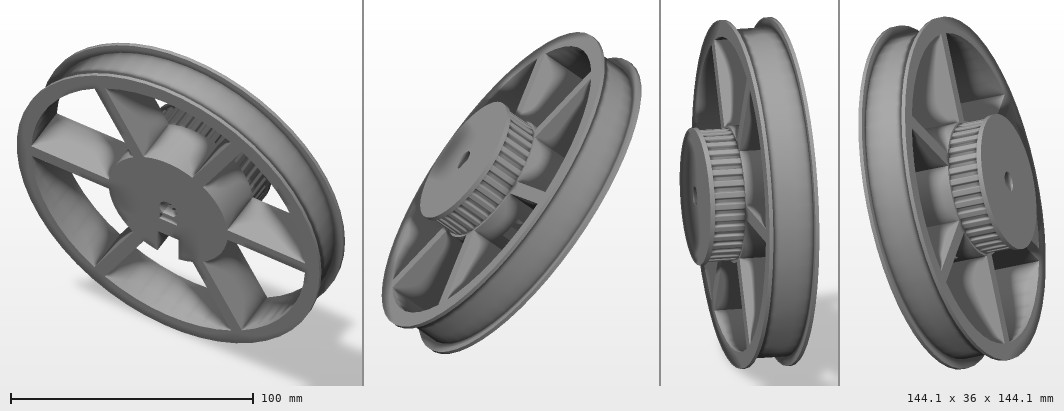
import cadquery as cq
import math

wheel_diameter = 144.1
drum_diameter = 136.0
rim_inner_diameter = 130.3
wheel_depth = 21.0
rim_flange_thickness = 1.6
hub_diameter = 56.6
spoke_width = 5.8
spoke_count = 6

total_depth = 36.0
pulley_diameter = 54.5
tooth_count = 35
groove_mouth_width = 2.6
groove_floor_width = 1.5
groove_depth = 1.2
groove_edge_radius = 0.4
groove_overrun = 0.7
retainer_diameter = 56.8
retainer_thickness = 2.0

bore_diameter = 8.4
bore_flat_distance = 3.3

screw_diameter = 5.0
screw_y = 6.0
nut_width = 8.4
nut_top_z = -4.2
nut_thickness = 3.5
notch_width = 10.1
notch_top_z = -16.0


def disc(diameter, y_start, y_end):
    """Solid disc about the Y axis between two depths."""
    plane = cq.Workplane("XZ", origin=(0, y_start, 0))
    return plane.circle(diameter / 2).extrude(y_start - y_end)


def block(x_size, y_start, y_end, z_low, z_high):
    """Box centred on x = 0."""
    centre = (0, (y_start + y_end) / 2, (z_low + z_high) / 2)
    return cq.Workplane("XY").box(x_size, y_end - y_start, z_high - z_low).translate(centre)


def make_wheel():
    rim = disc(drum_diameter, 0, wheel_depth)
    rim = rim.union(disc(wheel_diameter, 0, rim_flange_thickness))
    rim = rim.union(disc(wheel_diameter, wheel_depth - rim_flange_thickness, wheel_depth))
    wheel = rim.cut(disc(rim_inner_diameter, 0, wheel_depth))
    wheel = wheel.union(disc(hub_diameter, 0, wheel_depth))
    bar_length = (rim_inner_diameter + drum_diameter) / 2
    bar = block(bar_length, 0, wheel_depth, -spoke_width / 2, spoke_width / 2)
    for index in range(spoke_count // 2):
        angle = index * 360 / spoke_count
        wheel = wheel.union(bar.rotate((0, 0, 0), (0, 1, 0), angle))
    return wheel


def make_pulley():
    """Toothed drum closed by a plain retainer disc; one groove faces -X."""
    pulley_radius = pulley_diameter / 2
    floor_radius = pulley_radius - groove_depth
    taper = (groove_mouth_width - groove_floor_width) / groove_depth
    outer_width = groove_mouth_width + taper * groove_overrun
    groove = (
        cq.Workplane("XZ", origin=(0, wheel_depth, 0))
        .moveTo(-pulley_radius - groove_overrun, -outer_width / 2)
        .lineTo(-floor_radius, -groove_floor_width / 2)
        .lineTo(-floor_radius, groove_floor_width / 2)
        .lineTo(-pulley_radius - groove_overrun, outer_width / 2)
        .close()
        .extrude(wheel_depth - total_depth)
    )
    pulley = disc(pulley_diameter, wheel_depth, total_depth)
    pitch_angle = 360 / tooth_count
    grooves = [groove.rotate((0, 0, 0), (0, 1, 0), i * pitch_angle).val() for i in range(tooth_count)]
    pulley = pulley.cut(cq.Workplane(cq.Compound.makeCompound(grooves)))
    pulley = pulley.edges("|Y").fillet(groove_edge_radius)
    return pulley.union(disc(retainer_diameter, total_depth - retainer_thickness, total_depth))


def make_bore():
    bore = disc(bore_diameter, 0, total_depth)
    below_flat = block(bore_diameter, 0, total_depth, -bore_diameter, -bore_flat_distance)
    return bore.cut(below_flat)


def make_screw_cuts():
    screw_hole = (
        cq.Workplane("XY", origin=(0, screw_y, notch_top_z))
        .circle(screw_diameter / 2)
        .extrude(-notch_top_z)
    )
    nut_bottom_z = nut_top_z - nut_thickness
    nut_corner_radius = nut_width / math.sqrt(3)
    nut = (
        cq.Workplane("XY", origin=(0, screw_y, nut_bottom_z))
        .polygon(6, 2 * nut_corner_radius)
        .extrude(nut_thickness)
        .rotate((0, screw_y, 0), (0, screw_y, 1), 90)
    )
    nut_entry = block(nut_width, 0, screw_y, nut_bottom_z, nut_top_z)
    notch_end_y = screw_y + notch_width / 2
    notch = block(notch_width, 0, notch_end_y, -hub_diameter / 2, notch_top_z)
    return screw_hole.union(nut).union(nut_entry).union(notch)


result = make_wheel().union(make_pulley()).cut(make_bore()).cut(make_screw_cuts())